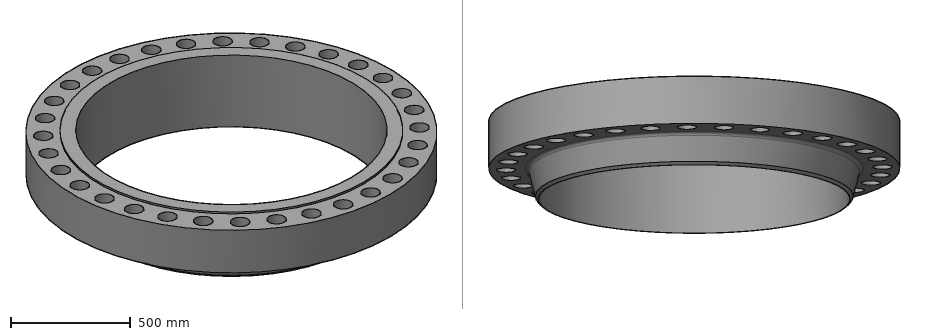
import cadquery as cq

flange_diameter = 1720.0
flange_thickness = 203.0
raised_face_diameter = 1435.0
raised_face_height = 9.0
bore_diameter = 1303.0

total_height = 342.0
hub_top_diameter = 1390.0
hub_end_diameter = 1330.0
bevel_height = 12.0
weld_land_width = 2.0
hub_fillet_radius = 17.0

bolt_circle_diameter = 1576.0
bolt_hole_diameter = 81.0
bolt_hole_count = 32

flange_bottom = total_height - raised_face_height - flange_thickness
flange_top = flange_bottom + flange_thickness
bore_radius = bore_diameter / 2


def revolved_body():
    """Revolve the half section of the flange, raised face and hub about Z."""
    section = (
        cq.Workplane("XZ")
        .moveTo(bore_radius, 0)
        .lineTo(bore_radius + weld_land_width, 0)
        .lineTo(hub_end_diameter / 2, bevel_height)
        .lineTo(hub_top_diameter / 2, flange_bottom)
        .lineTo(flange_diameter / 2, flange_bottom)
        .lineTo(flange_diameter / 2, flange_top)
        .lineTo(raised_face_diameter / 2, flange_top)
        .lineTo(raised_face_diameter / 2, total_height)
        .lineTo(bore_radius, total_height)
        .close()
    )
    return section.revolve(360, (0, 0, 0), (0, 1, 0))


def fillet_hub(body):
    """Round the inside corner where the hub meets the flange underside."""
    band_margin = 2.0
    underside_band = cq.selectors.BoxSelector(
        (-flange_diameter, -flange_diameter, flange_bottom - band_margin),
        (flange_diameter, flange_diameter, flange_bottom + band_margin),
        boundingbox=True,
    )
    hub_corner = cq.selectors.RadiusNthSelector(0)
    return body.edges("%CIRCLE").edges(underside_band).edges(hub_corner).fillet(hub_fillet_radius)


def bolt_holes():
    """Cylinders evenly spaced on the bolt circle, the first one on +X."""
    return (
        cq.Workplane("XY")
        .polarArray(bolt_circle_diameter / 2, 0, 360, bolt_hole_count)
        .circle(bolt_hole_diameter / 2)
        .extrude(total_height)
    )


result = fillet_hub(revolved_body()).cut(bolt_holes())